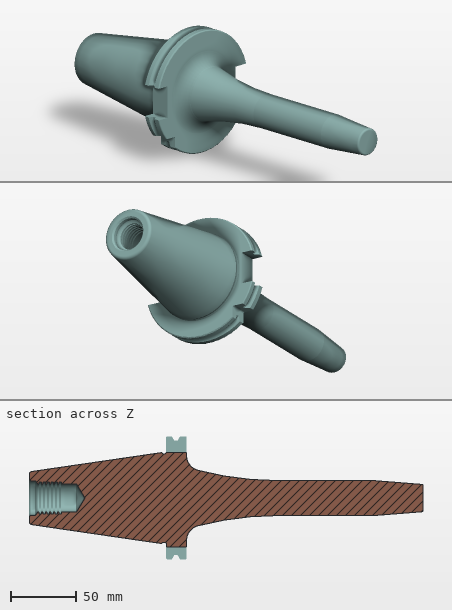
import cadquery as cq
import math

length = 301.5

gauge_x = 101.3
gauge_radius = 35.0
taper_ratio = 7 / 24
rear_radius = gauge_radius - gauge_x * taper_ratio / 2
rear_fillet = 2.5
relief_radius = 34.0
relief_chamfer = 1.0

flange_start = 105.0
flange_end = 120.5
flange_diameter = 97.5
flange_radius = flange_diameter / 2
flange_fillet = 1.0
groove_center = 112.5
groove_depth = 3.0
groove_floor_width = 2.7
groove_half_angle = math.radians(30)

neck_fillet_end = 129.0
neck_radius = 21.5
shank_start = 190.0
shank_end = 263.5
shank_radius = 13.5
nose_radius = 10.5
nose_fillet = 1.5

bore_radius = 13.0
bore_chamfer = 1.2
counterbore_depth = 4.8
countersink_depth = 1.8
thread_minor_radius = 10.5
thread_recess_radius = 12.0
thread_recess_width = 1.5
thread_pitch = 3.0
thread_recess_count = 6
bore_depth = 36.2
drill_point_half_angle = math.radians(59)

slot_width = 25.3
rear_slot_floor = 35.0
front_slot_floor = 37.7
notch_offset = 29.5
notch_fillet = 1.2


def revolve_about_x(profile):
    return profile.close().revolve(360, (0, 0, 0), (1, 0, 0))


def make_body():
    neck_length = shank_start - neck_fillet_end
    neck_rise = neck_radius - shank_radius
    neck_arc = (neck_length**2 + neck_rise**2) / (2 * neck_rise)
    neck_angle = math.asin(neck_length / neck_arc)

    def neck_point(angle):
        return (
            shank_start - neck_arc * math.sin(angle),
            shank_radius + neck_arc * (1 - math.cos(angle)),
        )

    root_arc = (neck_fillet_end - flange_end) / (1 - math.sin(neck_angle))
    root_center_x = flange_end + root_arc
    root_center_r = neck_radius + root_arc * math.cos(neck_angle)
    root_mid_angle = (neck_angle + math.pi / 2) / 2
    root_mid = (
        root_center_x - root_arc * math.sin(root_mid_angle),
        root_center_r - root_arc * math.cos(root_mid_angle),
    )

    body = revolve_about_x(
        cq.Workplane("XY")
        .lineTo(0, rear_radius)
        .lineTo(gauge_x, gauge_radius)
        .lineTo(gauge_x + relief_chamfer, relief_radius)
        .lineTo(flange_start - relief_chamfer, relief_radius)
        .lineTo(flange_start, gauge_radius)
        .lineTo(flange_start, flange_radius)
        .lineTo(flange_end, flange_radius)
        .lineTo(flange_end, root_center_r)
        .threePointArc(root_mid, (neck_fillet_end, neck_radius))
        .threePointArc(neck_point(neck_angle / 2), (shank_start, shank_radius))
        .lineTo(shank_end, shank_radius)
        .lineTo(length, nose_radius)
        .lineTo(length, 0)
    )
    body = body.faces("<X").edges().fillet(rear_fillet)
    body = body.faces(">X").edges().fillet(nose_fillet)
    flange_rims = body.edges("%CIRCLE").filter(lambda edge: math.isclose(edge.radius(), flange_radius))
    return flange_rims.fillet(flange_fillet)


def make_flange_groove():
    half_floor = groove_floor_width / 2
    half_opening = half_floor + groove_depth * math.tan(groove_half_angle)
    floor_radius = flange_radius - groove_depth
    return revolve_about_x(
        cq.Workplane("XY")
        .moveTo(groove_center - half_opening, flange_radius)
        .lineTo(groove_center - half_floor, floor_radius)
        .lineTo(groove_center + half_floor, floor_radius)
        .lineTo(groove_center + half_opening, flange_radius)
    )


def make_bore():
    point_length = thread_minor_radius / math.tan(drill_point_half_angle)
    bore = revolve_about_x(
        cq.Workplane("XY")
        .lineTo(0, bore_radius + bore_chamfer)
        .lineTo(bore_chamfer, bore_radius)
        .lineTo(counterbore_depth, bore_radius)
        .lineTo(counterbore_depth + countersink_depth, thread_minor_radius)
        .lineTo(bore_depth, thread_minor_radius)
        .lineTo(bore_depth + point_length, 0)
    )
    for index in range(thread_recess_count):
        recess_x = counterbore_depth + (index + 1) * thread_pitch
        recess = (
            cq.Workplane("YZ", origin=(recess_x, 0, 0))
            .circle(thread_recess_radius)
            .extrude(thread_recess_width)
        )
        bore = bore.union(recess)
    return bore


def make_drive_slot(floor):
    """Box through the flange, from Y = floor outwards, centred on Z = 0."""
    return cq.Workplane("XY").box(
        flange_end - flange_start, flange_radius, slot_width, centered=(False, False, True)
    ).translate((flange_start, floor, 0))


def make_notch():
    size = flange_radius - notch_offset
    return (
        cq.Workplane("XY")
        .box(flange_end - flange_start, size, size, centered=False)
        .translate((flange_start, -flange_radius, -flange_radius))
        .edges("|X and >Y and >Z")
        .fillet(notch_fillet)
    )


rear_slot = make_drive_slot(rear_slot_floor)
front_slot = make_drive_slot(front_slot_floor).mirror("XZ")

result = (
    make_body()
    .cut(make_flange_groove())
    .cut(rear_slot)
    .cut(front_slot)
    .cut(make_notch())
    .cut(make_bore())
)